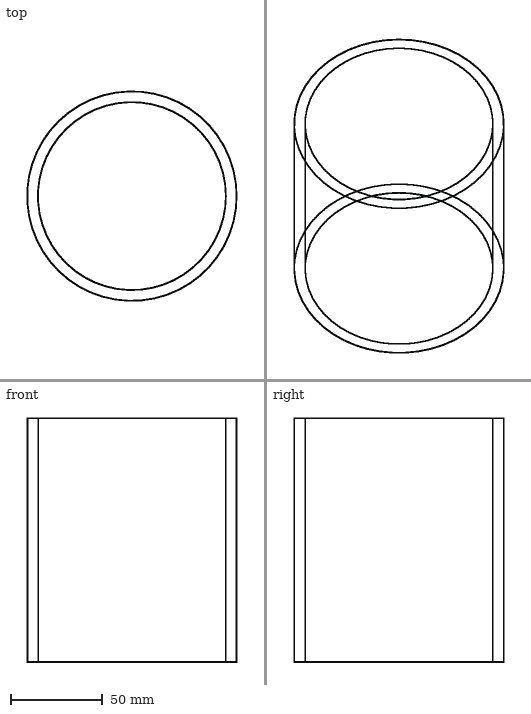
import cadquery as cq

height = 133.0
outer_diameter = 114.2
wall_thickness = 6.0
inner_diameter = outer_diameter - 2 * wall_thickness

result = (
    cq.Workplane("XY")
    .circle(outer_diameter / 2)
    .circle(inner_diameter / 2)
    .extrude(height)
)